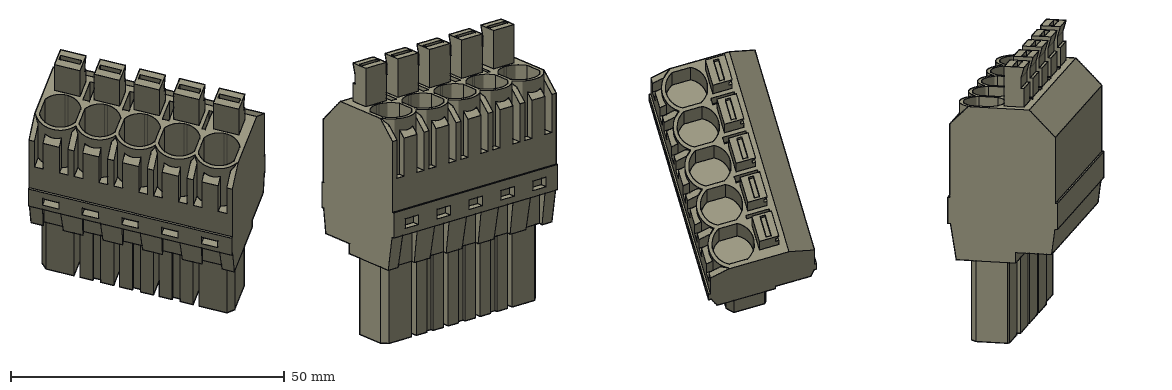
import cadquery as cq
import math


pole_count = 5
pitch = 7.6
total_width = 39.0
pole_positions = [(i - (pole_count - 1) / 2) * pitch for i in range(pole_count)]

main_depth = 19.85
band_projection = 0.35
plug_length = 15.55
rear_step_z = 17.5
rear_step_y = 12.4
band_bottom_z = 22.3
band_top_z = 27.25
housing_top_z = 44.6
front_chamfer = 3.5
rear_chamfer = 4.9
front_taper_top_y = 0.15
front_taper_bottom_y = 1.25
rear_taper_top_y = main_depth - 0.1
rear_taper_bottom_y = main_depth - 0.75

funnel_y = 5.6
funnel_outer_radius = 4.6
funnel_hole_radius = 3.85
funnel_hole_width = 6.9
funnel_flat_width = 0.55
funnel_rib_width = 3.15
funnel_slot_span = 6.4
funnel_slot_bottom_z = 33.65

gap_slot_width = 1.25
last_gap_slot_width = 0.6
gap_slot_front_y = 9.3
gap_slot_length = 4.45
gap_slot_depth = 5.2

window_width = 3.15
window_height = 1.9
window_bottom_z = 23.55
window_depth = 1.4

recess_floor_y = 2.15
recess_front_width = 3.45
recess_wall_angle = 10.0

plug_width = 6.5
plug_front_y = 3.6
plug_rear_y = 11.35
end_plug_rear_y = 10.95
end_plug_chamfer = 1.15
end_plug_rear_chamfer = 0.3
key_slot_width = 1.5
key_slot_depth = 0.55

pusher_width = 4.9
pusher_front_y = 9.85
pusher_depth = 3.7
pusher_top_z = 52.1
notch_depth = 0.55
notch_bottom_z = 48.15
notch_straight_top_z = 50.0
slit_width = 4.0
slit_depth_y = 0.95
slit_front_y = 11.3
slit_depth = 1.55


def block(x_min, x_max, y_min, y_max, z_min, z_max):
    """Axis-aligned box between two corners."""
    size = (x_max - x_min, y_max - y_min, z_max - z_min)
    return cq.Workplane().box(*size, centered=False).translate((x_min, y_min, z_min))


def centred_block(x, width, y_min, y_max, z_min, z_max):
    """Axis-aligned box centred on x."""
    return block(x - width / 2, x + width / 2, y_min, y_max, z_min, z_max)


def vertical_cylinder(x, y, radius, z_min, z_max):
    return cq.Workplane().workplane(offset=z_min).center(x, y).circle(radius).extrude(z_max - z_min)


def housing_shell():
    """Side profile of the housing, extruded across all the poles, before the front chamfer is cut."""
    profile = [
        (front_taper_bottom_y, plug_length),
        (front_taper_top_y, band_bottom_z),
        (-band_projection, band_bottom_z),
        (-band_projection, band_top_z),
        (0, band_top_z),
        (0, housing_top_z),
        (main_depth - rear_chamfer, housing_top_z),
        (main_depth, housing_top_z - rear_chamfer),
        (main_depth, band_top_z),
        (main_depth + band_projection, band_top_z),
        (main_depth + band_projection, band_bottom_z),
        (rear_taper_top_y, band_bottom_z),
        (rear_taper_bottom_y, rear_step_z),
        (rear_step_y, rear_step_z),
        (rear_step_y, plug_length),
    ]
    return cq.Workplane("YZ").polyline(profile).close().extrude(total_width / 2, both=True)


def front_relief():
    """Front chamfer and the slots beside each front rib, all stopping at the round funnel walls."""
    chamfer_z = housing_top_z - front_chamfer
    corner = [(0, chamfer_z), (front_chamfer, housing_top_z), (0, housing_top_z)]
    relief = cq.Workplane("YZ").polyline(corner).close().extrude(total_width / 2, both=True)
    for x in pole_positions:
        span = centred_block(x, funnel_slot_span, 0, funnel_y, funnel_slot_bottom_z, housing_top_z)
        rib = centred_block(x, funnel_rib_width, 0, funnel_y, funnel_slot_bottom_z, housing_top_z)
        relief = relief.union(span.cut(rib))
    for x in pole_positions:
        wall = vertical_cylinder(x, funnel_y, funnel_outer_radius, funnel_slot_bottom_z, housing_top_z)
        relief = relief.cut(wall)
    return relief


def funnel_hole(x):
    """Round wire hole with flat sides and a narrow flat at the front and the rear."""
    half_length = math.sqrt(funnel_hole_radius**2 - (funnel_flat_width / 2) ** 2)
    bore = vertical_cylinder(x, funnel_y, funnel_hole_radius, funnel_slot_bottom_z, housing_top_z)
    flats = centred_block(
        x,
        funnel_hole_width,
        funnel_y - half_length,
        funnel_y + half_length,
        funnel_slot_bottom_z,
        housing_top_z,
    )
    return bore.intersect(flats)


def gap_slot(index):
    """Slot in the top face to the right of a pole; the last one is narrower, on the same left edge."""
    width = last_gap_slot_width if index == pole_count - 2 else gap_slot_width
    left_x = pole_positions[index] + (pitch - gap_slot_width) / 2
    rear_y = gap_slot_front_y + gap_slot_length
    return block(left_x, left_x + width, gap_slot_front_y, rear_y, housing_top_z - gap_slot_depth, housing_top_z)


def band_window(x):
    top_z = window_bottom_z + window_height
    return centred_block(x, window_width, -band_projection, window_depth - band_projection, window_bottom_z, top_z)


def dovetail_recess(x):
    """Recess that widens towards its upright floor."""
    widening = (recess_floor_y - front_taper_top_y) * math.tan(math.radians(recess_wall_angle))
    front_half = recess_front_width / 2
    floor_half = front_half + widening
    outline = [
        (x - front_half, front_taper_top_y),
        (x + front_half, front_taper_top_y),
        (x + floor_half, recess_floor_y),
        (x - floor_half, recess_floor_y),
    ]
    height = band_bottom_z - plug_length
    return cq.Workplane().workplane(offset=plug_length).polyline(outline).close().extrude(height)


def middle_plug(x):
    """Plug with an upright key slot in its front face."""
    plug = centred_block(x, plug_width, plug_front_y, plug_rear_y, 0, plug_length)
    slot = centred_block(x, key_slot_width, plug_front_y, plug_front_y + key_slot_depth, 0, plug_length)
    return plug.cut(slot)


def end_plug(x):
    """Plug with its two outer upright edges chamfered."""
    outer_side = "<X" if x < 0 else ">X"
    plug = centred_block(x, plug_width, plug_front_y, end_plug_rear_y, 0, plug_length)
    plug = plug.faces(outer_side).edges("|Z and <Y").chamfer(end_plug_chamfer)
    return plug.faces(outer_side).edges("|Z and >Y").chamfer(end_plug_rear_chamfer)


def make_housing():
    housing = housing_shell().cut(front_relief())
    for x in pole_positions:
        housing = housing.cut(funnel_hole(x)).cut(band_window(x)).cut(dovetail_recess(x))
    for index in range(pole_count - 1):
        housing = housing.cut(gap_slot(index))
    for x in pole_positions[1:-1]:
        housing = housing.union(middle_plug(x))
    for x in (pole_positions[0], pole_positions[-1]):
        housing = housing.union(end_plug(x))
    return housing.solids()


def make_pusher(x):
    """Pusher standing on the housing, with a notched rear face and a screwdriver slit in its top."""
    rear_y = pusher_front_y + pusher_depth
    profile = [
        (pusher_front_y, housing_top_z),
        (rear_y, housing_top_z),
        (rear_y, notch_bottom_z),
        (rear_y - notch_depth, notch_bottom_z),
        (rear_y - notch_depth, notch_straight_top_z),
        (rear_y, pusher_top_z),
        (pusher_front_y, pusher_top_z),
    ]
    body = cq.Workplane("YZ").polyline(profile).close().extrude(pusher_width / 2, both=True)
    slit_rear_y = slit_front_y + slit_depth_y
    slit = centred_block(0, slit_width, slit_front_y, slit_rear_y, pusher_top_z - slit_depth, pusher_top_z)
    return body.cut(slit).translate((x, 0, 0))


housing = make_housing()
pushers = [make_pusher(x) for x in pole_positions]

result = cq.Compound.makeCompound([housing.val(), *[pusher.val() for pusher in pushers]])